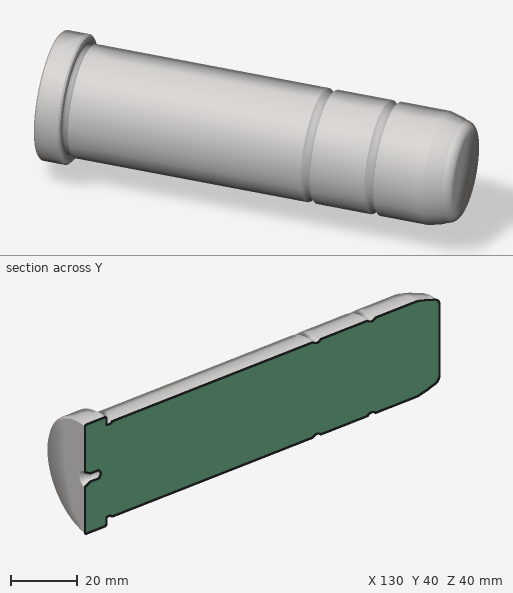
import cadquery as cq
import math

length = 130.0
head_diameter = 40.0
head_length = 8.0
head_chamfer = 0.5
body_diameter = 35.0

undercut_length = 2.1
undercut_depth = 0.6
undercut_ramp = 0.6

groove_centers = (85.0, 105.0)
groove_width = 2.9
groove_depth = 0.8

nose_length = 8.2
nose_shoulder_length = 2.7
nose_shoulder_radius = 15.7
nose_face_radius = 12.9
nose_arc_bulge = 0.3
corner_arc_bulge = 0.8

hole_diameter = 2.9
countersink_diameter = 5.3
countersink_angle = 60.0
hole_depth = 5.2
drill_point_angle = 120.0

head_radius = head_diameter / 2
body_radius = body_diameter / 2


def bulged_arc(profile, start, end, bulge):
    """Add an arc that bows outward from its chord by the given bulge."""
    dx = end[0] - start[0]
    dy = end[1] - start[1]
    chord = math.hypot(dx, dy)
    middle_x = (start[0] + end[0]) / 2 - bulge * dy / chord
    middle_y = (start[1] + end[1]) / 2 + bulge * dx / chord
    return profile.threePointArc((middle_x, middle_y), end)


def make_pin():
    """Revolve the half profile of head, undercut, body and nose about X."""
    undercut_end = head_length + undercut_length
    undercut_radius = body_radius - undercut_depth
    nose_start = (length - nose_length, body_radius)
    nose_shoulder = (length - nose_shoulder_length, nose_shoulder_radius)
    nose_face_edge = (length, nose_face_radius)

    profile = (
        cq.Workplane("XY")
        .lineTo(0, head_radius - head_chamfer)
        .lineTo(head_chamfer, head_radius)
        .lineTo(head_length - head_chamfer, head_radius)
        .lineTo(head_length, head_radius - head_chamfer)
        .lineTo(head_length, undercut_radius)
        .lineTo(undercut_end - undercut_ramp, undercut_radius)
        .lineTo(undercut_end, body_radius)
    )
    for center in groove_centers:
        profile = profile.lineTo(center - groove_width / 2, body_radius)
        profile = profile.threePointArc(
            (center, body_radius - groove_depth),
            (center + groove_width / 2, body_radius),
        )
    profile = profile.lineTo(*nose_start)
    profile = bulged_arc(profile, nose_start, nose_shoulder, nose_arc_bulge)
    profile = bulged_arc(profile, nose_shoulder, nose_face_edge, corner_arc_bulge)
    profile = profile.lineTo(length, 0).close()
    return profile.revolve(360, (0, 0, 0), (1, 0, 0))


def make_center_hole():
    """Revolve the countersunk, cone-bottomed hole about X."""
    hole_radius = hole_diameter / 2
    countersink_radius = countersink_diameter / 2
    half_angle = math.radians(countersink_angle / 2)
    countersink_depth = (countersink_radius - hole_radius) / math.tan(half_angle)
    point_length = hole_radius / math.tan(math.radians(drill_point_angle / 2))
    return (
        cq.Workplane("XY")
        .lineTo(0, countersink_radius)
        .lineTo(countersink_depth, hole_radius)
        .lineTo(hole_depth, hole_radius)
        .lineTo(hole_depth + point_length, 0)
        .close()
        .revolve(360, (0, 0, 0), (1, 0, 0))
    )


result = make_pin().cut(make_center_hole())